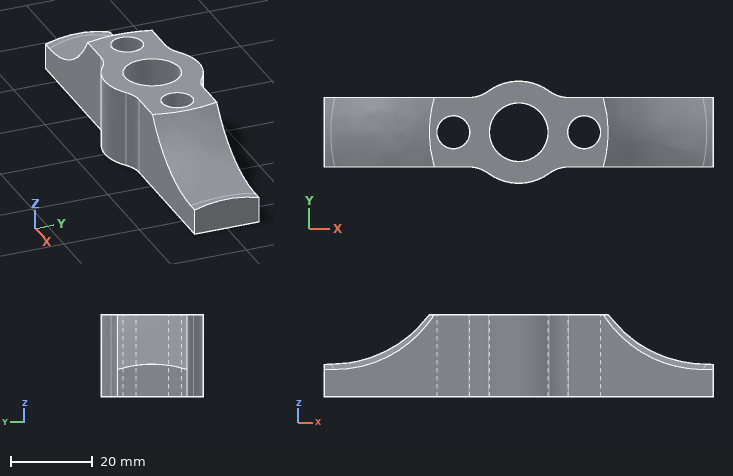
import cadquery as cq
import math

length = 95.0
height = 20.0
arm_width = 17.0

boss_diameter = 25.0
blend_radius = 8.0
bore_diameter = 14.25
side_hole_diameter = 8.0
side_hole_offset = 16.0

tip_height = 8.0
crown_radius = 28.5
saddle_radius = 30.0
saddle_start = 45.9
wall_bow_radius = 123.5

blank_height = tip_height + 1.5 * saddle_radius
wall_offset = saddle_start - saddle_radius
blank_half_length = 0.7 * length
blank_half_depth = 0.8 * crown_radius


def make_outline():
    """Straight bar and round boss joined by four tangent blends, full height."""
    half_length = length / 2
    half_width = arm_width / 2
    boss_radius = boss_diameter / 2
    blend_center_y = half_width + blend_radius
    center_distance = boss_radius + blend_radius
    blend_center_x = math.sqrt(center_distance**2 - blend_center_y**2)
    joint_x = blend_center_x * boss_radius / center_distance
    joint_y = blend_center_y * boss_radius / center_distance
    down_angle = -math.pi / 2
    joint_angle = math.atan2(-blend_center_y, -blend_center_x)
    mid_angle = (down_angle + joint_angle) / 2
    mid_x = blend_center_x + blend_radius * math.cos(mid_angle)
    mid_y = blend_center_y + blend_radius * math.sin(mid_angle)
    return (
        cq.Workplane("XY")
        .moveTo(-half_length, -half_width)
        .lineTo(-blend_center_x, -half_width)
        .threePointArc((-mid_x, -mid_y), (-joint_x, -joint_y))
        .threePointArc((0, -boss_radius), (joint_x, -joint_y))
        .threePointArc((mid_x, -mid_y), (blend_center_x, -half_width))
        .lineTo(half_length, -half_width)
        .lineTo(half_length, half_width)
        .lineTo(blend_center_x, half_width)
        .threePointArc((mid_x, mid_y), (joint_x, joint_y))
        .threePointArc((0, boss_radius), (-joint_x, joint_y))
        .threePointArc((-mid_x, mid_y), (-blend_center_x, half_width))
        .lineTo(-half_length, half_width)
        .close()
        .extrude(height)
    )


def make_saddle():
    """Crowned bar crossed by a tall bowed block, with both inside corners filleted."""
    crown_axis_z = tip_height - crown_radius
    crown = (
        cq.Workplane("YZ", origin=(-blank_half_length, 0, 0))
        .center(0, crown_axis_z)
        .circle(crown_radius)
        .extrude(2 * blank_half_length)
    )
    block_half_depth = 1.5 * crown_radius
    wall_center = wall_bow_radius - wall_offset
    edge_x = math.sqrt(wall_bow_radius**2 - block_half_depth**2) - wall_center
    block = (
        cq.Workplane("XY", origin=(0, 0, crown_axis_z))
        .moveTo(-edge_x, -block_half_depth)
        .lineTo(edge_x, -block_half_depth)
        .threePointArc((wall_offset, 0), (edge_x, block_half_depth))
        .lineTo(-edge_x, block_half_depth)
        .threePointArc((-wall_offset, 0), (-edge_x, -block_half_depth))
        .close()
        .extrude(blank_height - crown_axis_z)
    )
    limits = cq.Workplane("XY", origin=(0, 0, crown_axis_z)).box(
        2 * blank_half_length,
        2 * blank_half_depth,
        blank_height - crown_axis_z,
        centered=(True, True, False),
    )
    blank = crown.union(block).intersect(limits)
    corner = cq.selectors.BoxSelector(
        (-wall_offset, -blank_half_depth / 2, 0),
        (wall_offset, blank_half_depth / 2, tip_height),
    )
    return blank.edges(corner).fillet(saddle_radius)


def make_holes():
    """Central bore and two side holes, all through the full height."""
    bore = cq.Workplane("XY").circle(bore_diameter / 2).extrude(height)
    side_holes = (
        cq.Workplane("XY")
        .pushPoints([(-side_hole_offset, 0), (side_hole_offset, 0)])
        .circle(side_hole_diameter / 2)
        .extrude(height)
    )
    return bore.union(side_holes)


result = make_outline().intersect(make_saddle()).cut(make_holes())